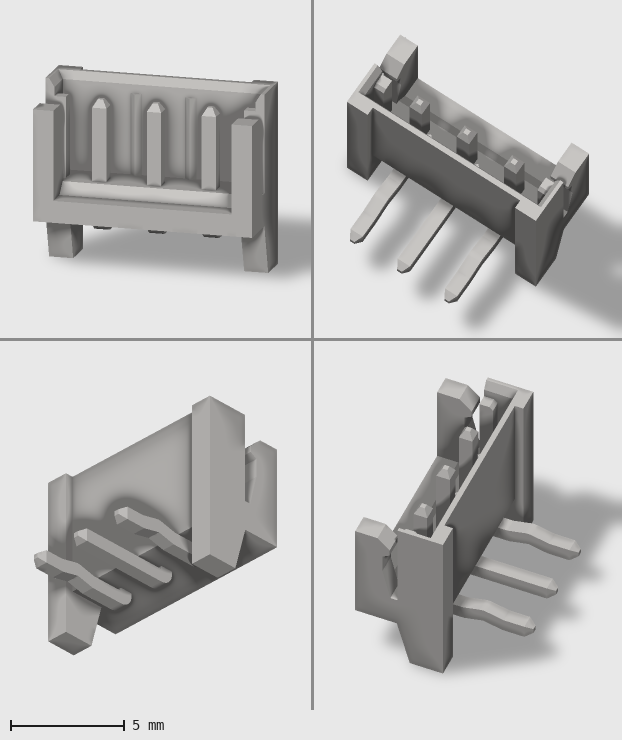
import cadquery as cq
import math


WIDTH = 10.0
HALF_WIDTH = WIDTH / 2
DEPTH = 4.2
WALL_TOP = 6.0
WALL_FRONT = -2.18
SIDE_WALL = 0.41
FLOOR_TOP = 1.5

FOOT_WIDTH = 1.1
FOOT_BOTTOM = -2.3
FOOT_FRONT_TOP = -2.21
FOOT_FRONT_BOTTOM = -1.59

REAR_RECESS = 0.41
REAR_WALL_INNER = -0.81
LEAD_IN_HEIGHT = 0.39
LEAD_IN_SIDE = 0.24
LEAD_IN_REAR = 0.15

ARM_WIDTH = 0.93
ARM_TOP = 5.1
SLOT_FRONT = -2.52
ARM_BACK = -2.9
ARM_TAPER_TOP = 3.08
BARB_FOOT = 4.01
BARB_TIP = -2.55
BARB_LOW = 4.23
BARB_HIGH = 4.55
ARM_TOP_REAR = -3.13
SILL_TOP = 1.0
SILL_BEVEL_REAR = -2.7

RIB_TOP = 5.2
SIDE_RIB_REAR = -1.53
SIDE_RIB_BEVEL = 0.17
KEY_RIB_WIDTH = 0.52
KEY_RIB_HEIGHT = 0.24

PIN_COUNT = 3
PIN_PITCH = 2.5
PIN_SIZE = 0.65
PIN_Y = -2.02
PIN_TOP = RIB_TOP
TAIL_TOP = -0.17
TAIL_END = 3.3
TIP_LENGTH = 0.35
TIP_SIZE = 0.24
KINK_Y = 0.98
KINK_HALF_LENGTH = 0.92
KINK_RISE = 0.21


def side_prism(points, x_start, x_end):
    """Extrude a (Y, Z) outline from x_start to x_end."""
    return (cq.Workplane("YZ").workplane(offset=x_start)
            .polyline(points).close().extrude(x_end - x_start))


def block(x_range, y_range, z_range):
    """Box between the given (low, high) limits."""
    size = [high - low for low, high in (x_range, y_range, z_range)]
    corner = (x_range[0], y_range[0], z_range[0])
    return cq.Workplane("XY").box(*size, centered=False).translate(corner)


def on_both_sides(shape):
    """The shape together with its mirror image across X = 0."""
    return shape.union(shape.mirror("YZ"))


def end_section():
    """Full side outline: foot, wall, slot and barbed latch arm."""
    return side_prism([
        (0, FOOT_BOTTOM),
        (FOOT_FRONT_BOTTOM, FOOT_BOTTOM),
        (FOOT_FRONT_TOP, 0),
        (-DEPTH, 0),
        (-DEPTH, ARM_TOP),
        (ARM_TOP_REAR, ARM_TOP),
        (BARB_TIP, BARB_HIGH),
        (BARB_TIP, BARB_LOW),
        (ARM_BACK, BARB_FOOT),
        (ARM_BACK, ARM_TAPER_TOP),
        (SLOT_FRONT, FLOOR_TOP),
        (WALL_FRONT, FLOOR_TOP),
        (WALL_FRONT, WALL_TOP),
        (0, WALL_TOP),
    ], -HALF_WIDTH, HALF_WIDTH)


def cavity():
    """Space between the side walls, open to the front, with the bevelled mouth."""
    half = HALF_WIDTH - SIDE_WALL
    mouth_half = half + LEAD_IN_SIDE
    mouth_rear = REAR_WALL_INNER + LEAD_IN_REAR
    bevel_bottom = WALL_TOP - LEAD_IN_HEIGHT
    straight = block((-half, half), (WALL_FRONT, REAR_WALL_INNER), (FLOOR_TOP, WALL_TOP))

    def rectangle(half_x, rear):
        return [(-half_x, WALL_FRONT), (half_x, WALL_FRONT), (half_x, rear), (-half_x, rear)]

    mouth = (cq.Workplane("XY").workplane(offset=bevel_bottom)
             .polyline(rectangle(half, REAR_WALL_INNER)).close()
             .workplane(offset=LEAD_IN_HEIGHT)
             .polyline(rectangle(mouth_half, mouth_rear)).close()
             .loft(ruled=True))
    return straight.union(mouth)


def arm_gap():
    """Opening between the latch arms, down to the bevelled sill."""
    half = HALF_WIDTH - ARM_WIDTH
    sill_bevel = FLOOR_TOP - SILL_TOP
    return side_prism([
        (WALL_FRONT, FLOOR_TOP),
        (SILL_BEVEL_REAR, FLOOR_TOP),
        (SILL_BEVEL_REAR - sill_bevel, SILL_TOP),
        (-DEPTH, SILL_TOP),
        (-DEPTH, WALL_TOP),
        (WALL_FRONT, WALL_TOP),
    ], -half, half)


def side_rib():
    """Upright rib on the inside of the -X side wall, bevelled at its rear top edge."""
    return side_prism([
        (WALL_FRONT, FLOOR_TOP),
        (WALL_FRONT, RIB_TOP),
        (SIDE_RIB_REAR - SIDE_RIB_BEVEL, RIB_TOP),
        (SIDE_RIB_REAR, RIB_TOP - SIDE_RIB_BEVEL),
        (SIDE_RIB_REAR, FLOOR_TOP),
    ], SIDE_WALL - HALF_WIDTH, ARM_WIDTH - HALF_WIDTH)


def key_rib(x):
    """Triangular rib on the rear wall, pointing forward."""
    return (cq.Workplane("XY").workplane(offset=FLOOR_TOP)
            .polyline([(x - KEY_RIB_WIDTH / 2, REAR_WALL_INNER),
                       (x, REAR_WALL_INNER - KEY_RIB_HEIGHT),
                       (x + KEY_RIB_WIDTH / 2, REAR_WALL_INNER)])
            .close().extrude(RIB_TOP - FLOOR_TOP))


def make_housing(pin_places):
    column_inner = HALF_WIDTH - FOOT_WIDTH
    between_columns = (-column_inner, column_inner)
    body = end_section()
    body = body.cut(block(between_columns, (-DEPTH, 0), (FOOT_BOTTOM, 0)))
    body = body.cut(block(between_columns, (-REAR_RECESS, 0), (0, WALL_TOP)))
    body = body.cut(cavity()).cut(arm_gap())
    body = body.union(on_both_sides(side_rib()))
    for left, right in zip(pin_places, pin_places[1:]):
        body = body.union(key_rib((left + right) / 2))
    for x in pin_places:
        body = body.cut(
            cq.Workplane("XY").center(x, PIN_Y).rect(PIN_SIZE, PIN_SIZE).extrude(FLOOR_TOP))
    return body


def pin_tip(plane):
    """Blunt pyramid that ends a pin, standing on the given plane."""
    taper = math.degrees(math.atan((PIN_SIZE - TIP_SIZE) / 2 / TIP_LENGTH))
    return cq.Workplane(plane).rect(PIN_SIZE, PIN_SIZE).extrude(TIP_LENGTH, taper=taper)


def make_pin(x, kinked):
    """Right-angle pin: upright leg, rounded bend and rearward tail, with or without a kink."""
    leg_front = PIN_Y - PIN_SIZE / 2
    leg_rear = PIN_Y + PIN_SIZE / 2
    tail_bottom = TAIL_TOP - PIN_SIZE
    leg_end = PIN_TOP - TIP_LENGTH
    tail_end = TAIL_END - TIP_LENGTH
    bend = PIN_SIZE * math.sqrt(0.5)

    outline = cq.Workplane("YZ").moveTo(leg_rear, tail_bottom)
    if kinked:
        outline = (outline.lineTo(KINK_Y - KINK_HALF_LENGTH, tail_bottom)
                   .lineTo(KINK_Y, tail_bottom + KINK_RISE)
                   .lineTo(KINK_Y + KINK_HALF_LENGTH, tail_bottom))
    outline = outline.lineTo(tail_end, tail_bottom).lineTo(tail_end, TAIL_TOP)
    if kinked:
        slope = math.atan(KINK_RISE / KINK_HALF_LENGTH)
        foot = KINK_HALF_LENGTH + PIN_SIZE * math.tan(slope / 2)
        crest_y = PIN_SIZE * math.sin(slope)
        crest_z = tail_bottom + KINK_RISE + PIN_SIZE * math.cos(slope)
        outline = (outline.lineTo(KINK_Y + foot, TAIL_TOP)
                   .lineTo(KINK_Y + crest_y, crest_z)
                   .threePointArc((KINK_Y, TAIL_TOP + KINK_RISE), (KINK_Y - crest_y, crest_z))
                   .lineTo(KINK_Y - foot, TAIL_TOP))
    wire = (outline.lineTo(leg_rear, TAIL_TOP)
            .lineTo(leg_rear, leg_end)
            .lineTo(leg_front, leg_end)
            .lineTo(leg_front, TAIL_TOP)
            .threePointArc((leg_rear - bend, TAIL_TOP - bend), (leg_rear, tail_bottom))
            .close())

    leg_tip = pin_tip("XY").translate((0, PIN_Y, leg_end))
    tail_tip = pin_tip("ZX").translate((0, tail_end, TAIL_TOP - PIN_SIZE / 2))
    pin = wire.extrude(PIN_SIZE / 2, both=True).union(leg_tip).union(tail_tip)
    return pin.translate((x, 0, 0))


pin_places = [(i - (PIN_COUNT - 1) / 2) * PIN_PITCH for i in range(PIN_COUNT)]
housing = make_housing(pin_places)
pins = [make_pin(x, kinked=x in (pin_places[0], pin_places[-1])) for x in pin_places]

result = cq.Compound.makeCompound([housing.val(), *[pin.val() for pin in pins]])